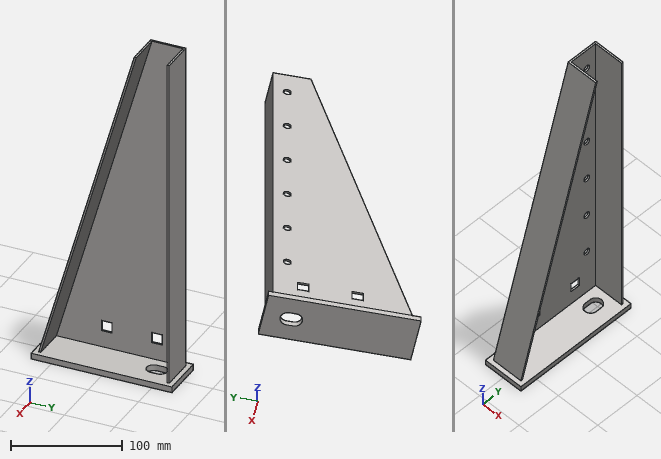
import cadquery as cq
import math

plate_width = 45.0
plate_length = 140.0
plate_thickness = 6.0

total_height = 336.0
plate_margin = 5.0
top_depth = 35.0
wall = 2.0

round_hole_diameter = 7.0
round_hole_count = 6
round_hole_from_back = 13.0
round_hole_below_top = 25.0

square_hole_side = 10.5
square_hole_from_back = 28.0
square_hole_height = 28.0
square_hole_count = 2

hole_pitch = 50.0

slot_length = 20.0
slot_width = 13.8
slot_from_plate_back = 25.5

column_width = plate_width - 2 * plate_margin
web_x = -column_width / 2
back_y = plate_length / 2 - plate_margin
front_foot_y = -back_y
front_top_y = back_y - top_depth
slope_run = front_top_y - front_foot_y
slope_rise = total_height - plate_thickness
front_wall_y = wall * math.hypot(slope_run, slope_rise) / slope_rise


def make_base_plate():
    plate = cq.Workplane("XY").box(plate_width, plate_length, plate_thickness, centered=(True, True, False))
    slot = (
        cq.Workplane("XY")
        .center(0, plate_length / 2 - slot_from_plate_back)
        .slot2D(slot_length, slot_width, 90)
        .extrude(plate_thickness)
    )
    return plate.cut(slot)


def tapered_prism(back_inset, front_inset, start_x):
    """Trapezoidal block from start_x to the open side, inset along Y at back and front."""
    back = back_y - back_inset
    outline = [
        (back, plate_thickness),
        (back, total_height),
        (front_top_y + front_inset, total_height),
        (front_foot_y + front_inset, plate_thickness),
    ]
    depth = column_width / 2 - start_x
    return cq.Workplane("YZ", origin=(start_x, 0, 0)).polyline(outline).close().extrude(depth)


def make_column():
    outside = tapered_prism(0, 0, web_x)
    inside = tapered_prism(wall, front_wall_y, web_x + wall)
    return outside.cut(inside)


def make_web_holes():
    web_plane = cq.Workplane("YZ", origin=(web_x, 0, 0))
    round_centers = [
        (back_y - round_hole_from_back, total_height - round_hole_below_top - i * hole_pitch)
        for i in range(round_hole_count)
    ]
    square_centers = [
        (back_y - square_hole_from_back - i * hole_pitch, square_hole_height)
        for i in range(square_hole_count)
    ]
    round_holes = web_plane.pushPoints(round_centers).circle(round_hole_diameter / 2).extrude(wall)
    square_holes = web_plane.pushPoints(square_centers).rect(square_hole_side, square_hole_side).extrude(wall)
    return round_holes.union(square_holes)


result = make_base_plate().union(make_column()).cut(make_web_holes())